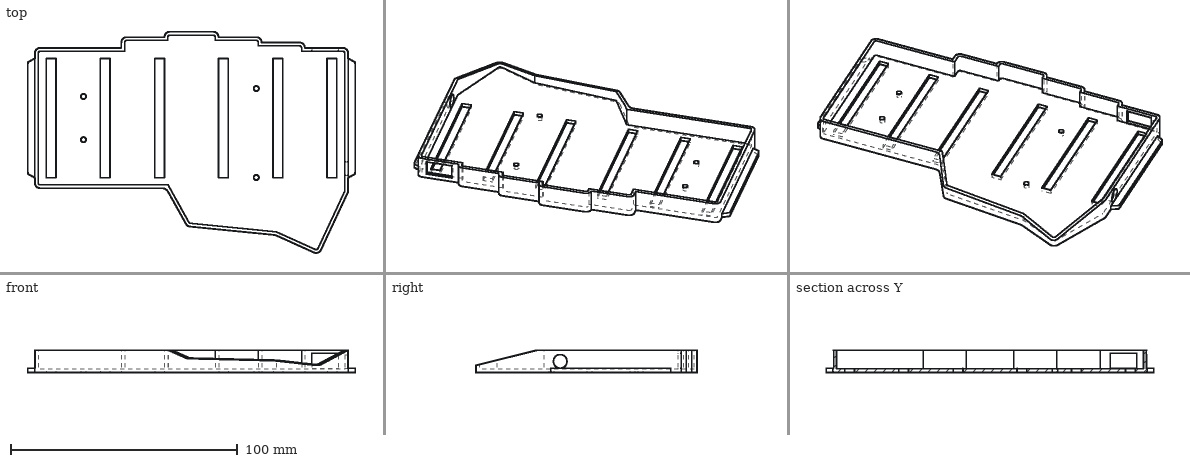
import cadquery as cq
import math

key_pitch = 19.05
columns = 7
rows = 3
column_stagger = key_pitch / 8
overall_length = 144.4
tray_height = 10.0
floor_thickness = 1.75

outer_margin = 2.4
wall_thickness = 1.5
inner_margin = outer_margin - wall_thickness
inside_bend_radius = 3.0

thumb_start = (-9.8, 0.0)
thumb_left = (-0.38, -16.93)
thumb_middle = (37.6, -20.7)
thumb_tip = (54.95, -28.53)
thumb_right_y = -3.45

rim_slope_start_y = -3.8
rim_slope_angle = 14.0

slot_width = 4.2
slot_length = 52.5
slot_centers_x = [14.1, 38.1, 61.9]

screw_diameter = 2.2
left_screw_x = -2.5 * key_pitch
right_screw_x = 1.5 * key_pitch
right_screw_spacing = 39.2

rail_height = 2.0
rail_root_length = 52.7
rail_tip_length = 49.3
rail_corner_radius = 1.0

window_start_x = 53.1
window_length = 11.6
window_bottom_z = 2.0
window_top_z = 8.5

jack_diameter = 6.0
jack_y = 6.3
jack_z = 5.0

half_field = columns * key_pitch / 2
field_depth = rows * key_pitch
field_center_y = field_depth / 2
half_tray = half_field + outer_margin
rail_width = overall_length / 2 - half_tray


def key_field_points():
    """Corners of the key field: staggered columns at the back, thumb cluster at the front."""
    back_steps = [(6, 1), (5, 2), (4, 3), (3, 2), (2, 0)]
    points = [(-half_field, 0.0), thumb_start, thumb_left, thumb_middle, thumb_tip]
    points.append((half_field, thumb_right_y))
    back_y = field_depth
    points.append((half_field, back_y))
    for column, staggers in back_steps:
        step_x = -half_field + column * key_pitch
        points.append((step_x, back_y))
        back_y = field_depth + staggers * column_stagger
        points.append((step_x, back_y))
    points.append((-half_field, back_y))
    return points


def grown_field(margin, base_z):
    """Key field grown by a margin with rounded outward corners, from base_z to the rim."""
    field = cq.Workplane("XY").workplane(offset=base_z).polyline(key_field_points()).close()
    return field.offset2D(margin, "arc").extrude(tray_height - base_z)


def outward_offset_corner(before, corner, after, margin):
    """Where the two walls meeting at a corner cross after both move outward by the margin."""
    angle_in = math.atan2(corner[1] - before[1], corner[0] - before[0])
    angle_out = math.atan2(after[1] - corner[1], after[0] - corner[0])
    normal_angle = (angle_in + angle_out) / 2 - math.pi / 2
    reach = margin / math.cos((angle_out - angle_in) / 2)
    return (corner[0] + reach * math.cos(normal_angle), corner[1] + reach * math.sin(normal_angle))


def make_shell():
    outside = grown_field(outer_margin, 0)
    left_corner = (-half_field, 0.0)
    bends = [(left_corner, thumb_start, thumb_left), (thumb_left, thumb_middle, thumb_tip)]
    for before, corner, after in bends:
        x, y = outward_offset_corner(before, corner, after, outer_margin)
        edge = outside.edges(cq.selectors.NearestToPointSelector((x, y, tray_height / 2)))
        outside = edge.fillet(inside_bend_radius)
    return outside.cut(grown_field(inner_margin, floor_thickness))


def rim_slope_cutter():
    """Wedge that lowers the rim toward the thumb tip."""
    run = abs(thumb_tip[1]) + 2 * outer_margin
    drop = run * math.tan(math.radians(rim_slope_angle))
    profile = [(0, 0), (-run, -drop), (-run, 0)]
    wedge = cq.Workplane("YZ").polyline(profile).close().extrude(half_tray, both=True)
    return wedge.translate((0, rim_slope_start_y, tray_height))


def side_rail(side):
    """Low tapered rail along one side wall; side is -1 (left) or 1 (right)."""
    root_x = half_tray - wall_thickness / 2
    tip_x = half_tray + rail_width
    root = rail_root_length / 2
    tip = rail_tip_length / 2
    outline = [(root_x, -root), (half_tray, -root), (tip_x, -tip)]
    outline += [(tip_x, tip), (half_tray, root), (root_x, root)]
    rail = cq.Workplane("XY").polyline(outline).close().extrude(rail_height)
    rail = rail.edges("|Z and >X").fillet(rail_corner_radius)
    if side < 0:
        rail = rail.mirror("YZ")
    return rail.translate((0, field_center_y, 0))


def slot_cutter():
    centers = [(side * x, field_center_y) for side in (-1, 1) for x in slot_centers_x]
    return cq.Workplane("XY").pushPoints(centers).rect(slot_width, slot_length).extrude(floor_thickness)


def screw_hole_cutter():
    centers = [(left_screw_x, row * key_pitch) for row in (1, 2)]
    centers += [(right_screw_x, column_stagger + i * right_screw_spacing) for i in (0, 1)]
    return cq.Workplane("XY").pushPoints(centers).circle(screw_diameter / 2).extrude(floor_thickness)


def window_cutter():
    """Connector opening through the back wall, just above the floor."""
    height = window_top_z - window_bottom_z
    window = cq.Workplane("XY").box(window_length, wall_thickness, height, centered=False)
    return window.translate((window_start_x, field_depth + inner_margin, window_bottom_z))


def jack_cutter():
    """Round opening through the right-hand wall."""
    plane = cq.Workplane("YZ", origin=(half_field, jack_y, jack_z))
    return plane.circle(jack_diameter / 2).extrude(outer_margin)


tray = make_shell().cut(rim_slope_cutter())
for rail_side in (-1, 1):
    tray = tray.union(side_rail(rail_side))
for cutter in (slot_cutter(), screw_hole_cutter(), window_cutter(), jack_cutter()):
    tray = tray.cut(cutter)

result = tray